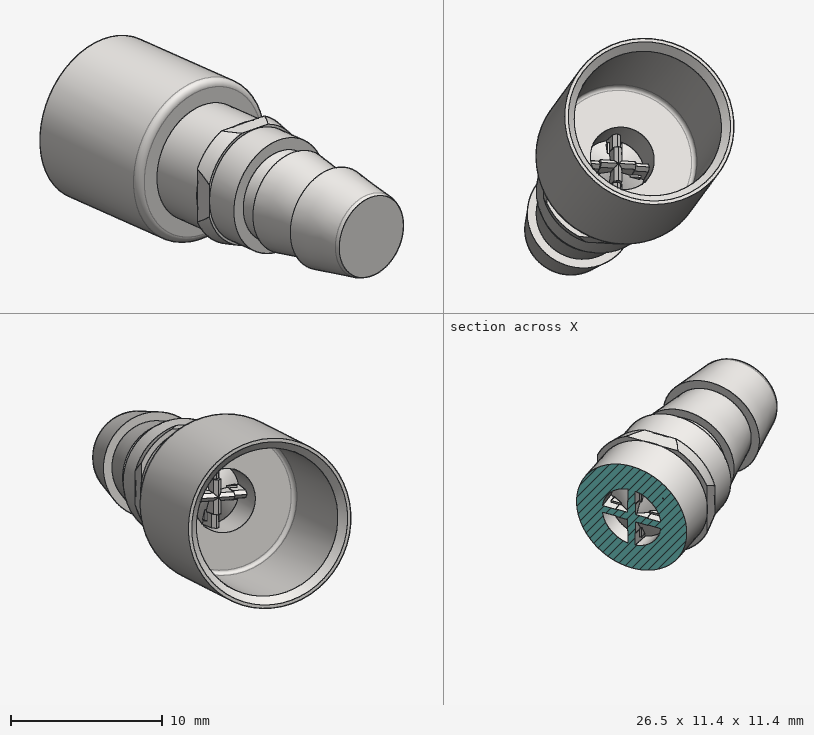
import cadquery as cq


length = 26.5
socket_end = 9.8
collar_start = 13.75
collar_end = 14.95
land_end = 17.35
first_barb = 18.74
second_barb = 22.45

socket_d = 11.4
socket_edge_radius = 0.5
bore_d = 9.9
bore_depth = 8.75
mouth_d = 10.92
floor_fillet = 0.3

neck_d = 8.15
land_d = 8.0
collar_front_d = 8.9
collar_back_d = 8.37
collar_across_flats = 8.05

barb_d = 7.1
root_d = 5.9
tip_chamfer = 0.26
tip_d = 5.67

port_d = 4.3
cone_length = 1.32
port_depth = 3.18
rib_foot_width = 0.85
rib_eave_width = 0.53
rib_rise = 0.65
rib_shoulder_radius = 1.17
rib_shoulder_drop = 0.4
pad_width = 0.95
pad_inner_radius = 1.03
pad_outer_radius = 1.78
pad_height = 0.7

port_end = bore_depth + port_depth
barb_taper = (barb_d - root_d) / (second_barb - first_barb)


def revolve_outline(points):
    """Solid of revolution about X from a closed outline of (x, radius) points."""
    return cq.Workplane("XY").polyline(points).close().revolve(360, (0, 0, 0), (1, 0, 0))


def frustum(start, end, start_d, end_d):
    return revolve_outline([(start, 0), (start, start_d / 2), (end, end_d / 2), (end, 0)])


def cylinder(start, end, diameter):
    return frustum(start, end, diameter, diameter)


def socket_body():
    return cylinder(0, socket_end, socket_d).faces(">X").edges().fillet(socket_edge_radius)


def collar():
    cone = frustum(collar_start, collar_end, collar_front_d, collar_back_d)
    middle = (collar_start + collar_end) / 2
    flats = cq.Workplane("XY").box(length, collar_across_flats, collar_across_flats)
    return cone.intersect(flats.translate((middle, 0, 0)))


def barbed_tail():
    """Tapered root followed by two barbs of the same taper and a chamfered tip."""
    tail_start_d = root_d + barb_taper * (first_barb - land_end)
    tip_start = length - tip_chamfer
    tip_start_d = barb_d - barb_taper * (tip_start - second_barb)
    tail = frustum(land_end, first_barb, tail_start_d, root_d)
    tail = tail.union(frustum(first_barb, second_barb, barb_d, root_d))
    tail = tail.union(frustum(second_barb, tip_start, barb_d, tip_start_d))
    return tail.union(frustum(tip_start, length, tip_start_d, tip_d))


def socket_bore():
    bore = cylinder(0, bore_depth, bore_d).faces(">X").edges().fillet(floor_fillet)
    mouth_depth = (mouth_d - bore_d) / 2
    return bore.union(frustum(0, mouth_depth, mouth_d, bore_d))


def ridged_bar(front, reach):
    """Bar along Y with tapered sides and a roof-shaped front, reaching both ways from the axis."""
    foot = rib_foot_width / 2
    eave = rib_eave_width / 2
    outline = [(port_end, -foot), (front + eave, -eave), (front, 0), (front + eave, eave), (port_end, foot)]
    return cq.Workplane("XZ").polyline(outline).close().extrude(reach, both=True)


def rib():
    """Bar across the port, lower beyond its shoulders, with a pad thickening each outer half."""
    front = port_end - cone_length - rib_rise
    bar = ridged_bar(front, rib_shoulder_radius)
    bar = bar.union(ridged_bar(front + rib_shoulder_drop, port_d / 2))
    pad_middle = (pad_inner_radius + pad_outer_radius) / 2
    pad = cq.Workplane("XY").box(pad_height, pad_outer_radius - pad_inner_radius, pad_width)
    for side in (-1, 1):
        bar = bar.union(pad.translate((port_end - pad_height / 2, side * pad_middle, 0)))
    return bar


def port_core():
    """Cone pointing at the mouth, crossed by two ribs."""
    cone = revolve_outline([(port_end - cone_length, 0), (port_end, port_d / 2), (port_end, 0)])
    core = cone.union(rib()).union(rib().rotate((0, 0, 0), (1, 0, 0), 90))
    return core.intersect(cylinder(bore_depth, port_end, port_d))


body = socket_body()
body = body.union(cylinder(socket_end, collar_start, neck_d))
body = body.union(collar())
body = body.union(cylinder(collar_start, land_end, land_d))
body = body.union(barbed_tail())
body = body.cut(socket_bore())
body = body.cut(cylinder(bore_depth, port_end, port_d))
result = body.union(port_core())